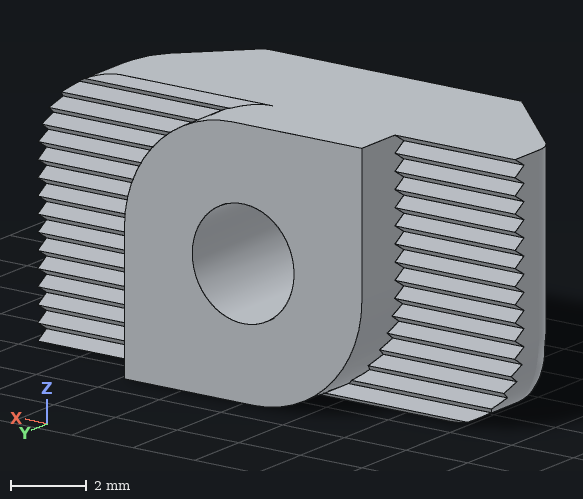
import cadquery as cq

length = 15.5
height = 7.7
total_depth = 6.0
boss_depth = 1.5
bevel = 2.99
corner_radius = 2.5
bevel_edge_radius = 0.99
boss_corner_radius = 3.5
hole_diameter = 3.3
tooth_pitch = 0.5
tooth_depth = 0.4
end_margin = 0.15

body_depth = total_depth - boss_depth
half_length = length / 2
half_height = height / 2


def opposite(shape):
    """Turn a shape half a revolution about the hole axis."""
    return shape.rotate((0, 0, 0), (0, 1, 0), 180)


def round_opposite_corners(block, radius):
    """Round the lower left and upper right corners of a block."""
    block = block.faces("<X").edges("|Y").edges("<Z").fillet(radius)
    return block.faces(">X").edges("|Y").edges(">Z").fillet(radius)


def round_bevel_edges(body, side):
    """Blend the bevel on one end (side = -1 or 1) into the end and the rounded corner."""
    end_edge_point = (side * half_length, bevel, 0)
    end_edge = body.edges(cq.selectors.NearestToPointSelector(end_edge_point))
    return end_edge.fillet(bevel_edge_radius)


def make_body():
    """Hexagonal prism with two beveled ends and two diagonally opposite rounded corners."""
    body = (
        cq.Workplane("XY")
        .workplane(offset=-half_height)
        .moveTo(-half_length + bevel, 0)
        .lineTo(half_length - bevel, 0)
        .lineTo(half_length, bevel)
        .lineTo(half_length, body_depth)
        .lineTo(-half_length, body_depth)
        .lineTo(-half_length, bevel)
        .close()
        .extrude(height)
    )
    body = round_opposite_corners(body, corner_radius)
    for side in (-1, 1):
        body = round_bevel_edges(body, side)
    return body


def make_boss():
    """Square boss through the full depth, rounded at two diagonally opposite corners."""
    boss = cq.Workplane("XZ").rect(height, height).extrude(-total_depth)
    return round_opposite_corners(boss, boss_corner_radius)


def make_left_grooves():
    """V grooves along X in the left back face, starting from a crest at the top."""
    groove_count = int(height / tooth_pitch) + 1
    grooves = cq.Workplane("YZ")
    for index in range(groove_count):
        crest = half_height - index * tooth_pitch
        grooves = (
            grooves.moveTo(body_depth, crest)
            .lineTo(body_depth - tooth_depth, crest - tooth_pitch / 2)
            .lineTo(body_depth, crest - tooth_pitch)
            .close()
        )
    return grooves.extrude(-half_length - end_margin)


body = make_body()
boss = make_boss()
left_grooves = make_left_grooves()
body = body.cut(left_grooves).cut(opposite(left_grooves))
hole = cq.Workplane("XZ").circle(hole_diameter / 2).extrude(-total_depth)
result = body.union(boss).cut(hole)